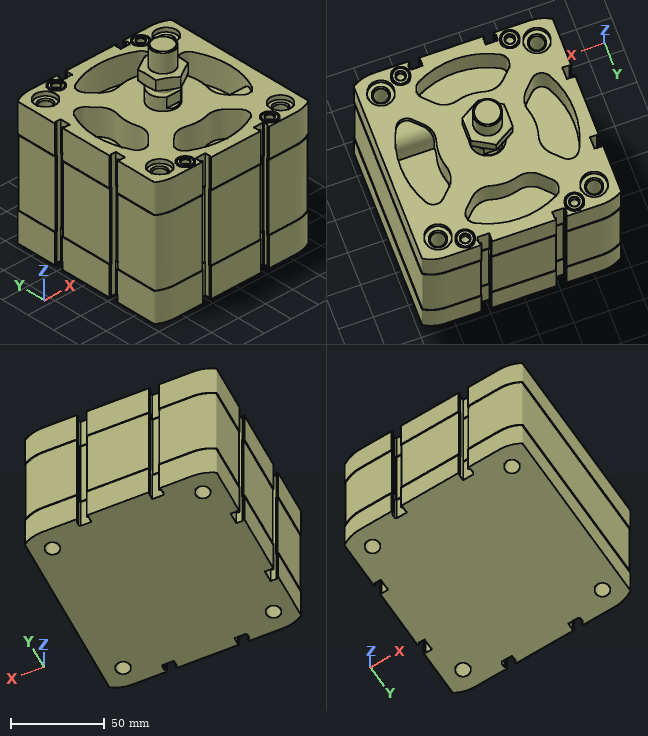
import cadquery as cq
import math

WIDTH = 114.0
TOTAL_HEIGHT = 129.0
HOUSING_HEIGHT = 92.1
HALF_WIDTH = WIDTH / 2

CAP_HEIGHT = 21.5
BARREL_INSET = 0.4
CORNER_ARC_START = 44.5
CORNER_ARC_RADIUS = 24.0
CORNER_EDGE_RADIUS = 1.3

SLOT_MOUTH_INNER = 18.7
SLOT_MOUTH_OUTER = 24.1
SLOT_INNER = 18.0
SLOT_OUTER = 25.2
SLOT_DEPTH = 5.0
SLOT_LIP = 1.2
SLOT_EDGE_CHAMFER = 0.4
SLOT_CORNER_CUT = 0.6

POCKET_DIAMETER = 99.2
POCKET_HUB_RADIUS = 27.5
POCKET_DEPTH = 19.2
WEB_WIDTH = 13.8
POCKET_HUB_FILLET = 12.0
POCKET_TIP_FILLET = 5.9

BOSS_FACE = -12.1
BOSS_DEPTH = 3.2
BOSS_RADIUS = 8.0

MOUNT_SPACING = 89.3
MOUNT_BORE = 8.4
MOUNT_COUNTERSINK = 10.0
MOUNT_COUNTERBORE = 15.0
MOUNT_COUNTERBORE_DEPTH = 3.0

SCREW_X = 31.2
SCREW_Y = 50.5
SCREW_RECESS = 10.7
SCREW_HEAD = 10.0
SCREW_FACE = 9.0
SCREW_GROOVE_DEPTH = 1.3
SCREW_SOCKET = 5.2
SCREW_SOCKET_MOUTH = 5.9
SCREW_SOCKET_DEPTH = 3.2
SOCKET_POINT_ANGLE = 140.0

ROD_DIAMETER = 20.0
ROD_FLATS = 17.0
FLAT_BOTTOM = 94.0
FLAT_RUNOUT = 0.9
SHOULDER_TOP = 101.1
NECK_DIAMETER = 13.5
NECK_TOP = 103.7
NECK_FILLET = 0.9
THREAD_DIAMETER = 16.0
THREAD_START = 107.1
TIP_DIAMETER = 14.3
TIP_CHAMFER_HEIGHT = 0.5

NUT_BOTTOM = THREAD_START
NUT_HEIGHT = 8.0
NUT_FLATS = 24.0
NUT_FACE_DIAMETER = 23.2
NUT_CHAMFER_ANGLE = 15.0


def prism(bottom, height, inset):
    """Square section with shallow arcs on its corners, shrunk by an inset."""
    half = HALF_WIDTH - inset
    reach = half - CORNER_ARC_START
    rise = math.sqrt(CORNER_ARC_RADIUS**2 - reach**2)
    corner_y = half - CORNER_ARC_RADIUS + rise
    half_angle = math.asin(reach / CORNER_ARC_RADIUS) / 2
    mid_x = CORNER_ARC_START + CORNER_ARC_RADIUS * math.sin(half_angle)
    mid_y = half - CORNER_ARC_RADIUS * (1 - math.cos(half_angle))
    return (
        cq.Workplane("XY", origin=(0, 0, bottom))
        .moveTo(-CORNER_ARC_START, half)
        .lineTo(CORNER_ARC_START, half)
        .threePointArc((mid_x, mid_y), (half, corner_y))
        .lineTo(half, -corner_y)
        .threePointArc((mid_x, -mid_y), (CORNER_ARC_START, -half))
        .lineTo(-CORNER_ARC_START, -half)
        .threePointArc((-mid_x, -mid_y), (-half, -corner_y))
        .lineTo(-half, corner_y)
        .threePointArc((-mid_x, mid_y), (-CORNER_ARC_START, half))
        .close()
        .extrude(height)
        .edges("(<X or >X) and |Z")
        .fillet(CORNER_EDGE_RADIUS)
    )


def slot(bottom, height, inset, corner_cut):
    """Undercut slot in the +Y face, on the +X side of its middle."""
    face = HALF_WIDTH - inset
    floor = face - SLOT_DEPTH
    cavity = (
        cq.Workplane("XY", origin=(0, 0, bottom))
        .moveTo(SLOT_INNER, floor)
        .lineTo(SLOT_OUTER, floor)
        .lineTo(SLOT_OUTER, face - SLOT_LIP)
        .lineTo(SLOT_INNER, face - SLOT_LIP)
        .close()
        .extrude(height)
    )
    if corner_cut > 0:
        cavity = cavity.edges("|Z and >X").chamfer(corner_cut)
    mouth = (
        cq.Workplane("XY", origin=(0, 0, bottom))
        .moveTo(SLOT_MOUTH_INNER, floor)
        .lineTo(SLOT_MOUTH_OUTER, floor)
        .lineTo(SLOT_MOUTH_OUTER, face - SLOT_EDGE_CHAMFER)
        .lineTo(SLOT_MOUTH_OUTER + SLOT_EDGE_CHAMFER, face)
        .lineTo(SLOT_MOUTH_INNER - SLOT_EDGE_CHAMFER, face)
        .lineTo(SLOT_MOUTH_INNER, face - SLOT_EDGE_CHAMFER)
        .close()
        .extrude(height)
    )
    return cavity.union(mouth)


def section(bottom, height, inset):
    """One length of the housing with its slots: two each in the +Y, -X and -Y faces."""
    body = prism(bottom, height, inset)
    for angle, corner_cut in ((0, SLOT_CORNER_CUT), (90, 0), (180, SLOT_CORNER_CUT)):
        right_slot = slot(bottom, height, inset, corner_cut)
        for cutter in (right_slot, right_slot.mirror("YZ")):
            body = body.cut(cutter.rotate((0, 0, 0), (0, 0, 1), angle))
    return body


def pocket():
    """Kidney-shaped pocket on the +X side, between the hub and the outer circle."""
    reach = POCKET_DIAMETER
    web = WEB_WIDTH / math.sqrt(2)
    bottom = HOUSING_HEIGHT - POCKET_DEPTH
    ring = (
        cq.Workplane("XY", origin=(0, 0, bottom))
        .circle(POCKET_DIAMETER / 2)
        .circle(POCKET_HUB_RADIUS)
        .extrude(POCKET_DEPTH)
    )
    wedge = (
        cq.Workplane("XY", origin=(0, 0, bottom))
        .polyline([(web, 0), (reach, reach - web), (reach, web - reach)])
        .close()
        .extrude(POCKET_DEPTH)
    )
    hub_corners = cq.selectors.BoxSelector(
        (0, -reach, 0),
        (POCKET_HUB_RADIUS, reach, TOTAL_HEIGHT),
    )
    return (
        ring.intersect(wedge)
        .edges("|Z").edges(hub_corners).fillet(POCKET_HUB_FILLET)
        .edges("|Z and (>Y or <Y)").fillet(POCKET_TIP_FILLET)
    )


def boss():
    """Block with one rounded edge that fills the lower part of the +X pocket's -Y end."""
    bottom = HOUSING_HEIGHT - POCKET_DEPTH
    length = HALF_WIDTH
    return (
        cq.Workplane("XY")
        .box(HALF_WIDTH, length, POCKET_DEPTH - BOSS_DEPTH, centered=False)
        .translate((0, BOSS_FACE - length, bottom))
        .edges("|X and >Y and >Z")
        .fillet(BOSS_RADIUS)
    )


def mounting_hole():
    """Through hole with a chamfered bore below a counterbore."""
    seat = HOUSING_HEIGHT - MOUNT_COUNTERBORE_DEPTH
    bore = MOUNT_BORE / 2
    lead = MOUNT_COUNTERSINK / 2
    head = MOUNT_COUNTERBORE / 2
    return (
        cq.Workplane("XZ")
        .polyline(
            [
                (0, 0),
                (bore, 0),
                (bore, seat - (lead - bore)),
                (lead, seat),
                (head, seat),
                (head, HOUSING_HEIGHT),
                (0, HOUSING_HEIGHT),
            ]
        )
        .close()
        .revolve(360, (0, 0), (0, 1))
    )


def screw_recess():
    """Groove around a screw head and the drilled socket in its middle."""
    top = HOUSING_HEIGHT
    socket = SCREW_SOCKET / 2
    mouth = SCREW_SOCKET_MOUTH / 2
    floor = top - SCREW_SOCKET_DEPTH
    point = socket / math.tan(math.radians(SOCKET_POINT_ANGLE / 2))
    socket_cut = (
        cq.Workplane("XZ")
        .polyline(
            [
                (0, floor - point),
                (socket, floor),
                (socket, top - (mouth - socket)),
                (mouth, top),
                (0, top),
            ]
        )
        .close()
        .revolve(360, (0, 0), (0, 1))
    )
    recess = SCREW_RECESS / 2
    head = SCREW_HEAD / 2
    face = SCREW_FACE / 2
    groove = (
        cq.Workplane("XZ")
        .polyline(
            [
                (face, top),
                (head, top - (head - face)),
                (head, top - SCREW_GROOVE_DEPTH),
                (recess, top - SCREW_GROOVE_DEPTH),
                (recess, top),
            ]
        )
        .close()
        .revolve(360, (0, 0), (0, 1))
    )
    return socket_cut.union(groove)


def build_housing():
    """Body with pockets, mounting holes and screw heads."""
    barrel_height = HOUSING_HEIGHT - 2 * CAP_HEIGHT
    body = section(0, CAP_HEIGHT, 0)
    body = body.union(section(CAP_HEIGHT, barrel_height, BARREL_INSET))
    body = body.union(section(CAP_HEIGHT + barrel_height, CAP_HEIGHT, 0))

    body = body.cut(pocket().cut(boss()))
    for angle in (90, 180, 270):
        body = body.cut(pocket().rotate((0, 0, 0), (0, 0, 1), angle))

    for side_x in (-1, 1):
        for side_y in (-1, 1):
            mount_place = (side_x * MOUNT_SPACING / 2, side_y * MOUNT_SPACING / 2, 0)
            screw_place = (side_x * SCREW_X, side_y * SCREW_Y, 0)
            body = body.cut(mounting_hole().translate(mount_place))
            body = body.cut(screw_recess().translate(screw_place))
    return body


def build_rod():
    """Rod standing on the housing, with wrench flats, a relieved neck and a thread."""
    shaft = ROD_DIAMETER / 2
    neck = NECK_DIAMETER / 2
    thread = THREAD_DIAMETER / 2
    tip = TIP_DIAMETER / 2
    rod = (
        cq.Workplane("XZ")
        .polyline(
            [
                (0, HOUSING_HEIGHT),
                (shaft, HOUSING_HEIGHT),
                (shaft, SHOULDER_TOP),
                (neck, SHOULDER_TOP),
                (neck, NECK_TOP),
                (thread, THREAD_START),
                (thread, TOTAL_HEIGHT - TIP_CHAMFER_HEIGHT),
                (tip, TOTAL_HEIGHT),
                (0, TOTAL_HEIGHT),
            ]
        )
        .close()
        .revolve(360, (0, 0), (0, 1))
    )
    neck_ends = cq.selectors.BoxSelector(
        (-thread, -thread, SHOULDER_TOP - NECK_FILLET),
        (thread, thread, NECK_TOP + NECK_FILLET),
        boundingbox=True,
    )
    rod = rod.edges("%CIRCLE").edges(neck_ends).fillet(NECK_FILLET)
    flat = ROD_FLATS / 2
    flat_cut = (
        cq.Workplane("YZ", origin=(-shaft, 0, 0))
        .polyline(
            [
                (flat, FLAT_BOTTOM),
                (flat, SHOULDER_TOP),
                (shaft, SHOULDER_TOP),
                (shaft, FLAT_BOTTOM - FLAT_RUNOUT),
            ]
        )
        .close()
        .extrude(ROD_DIAMETER)
    )
    return rod.cut(flat_cut).cut(flat_cut.mirror("XZ"))


def build_nut():
    """Hexagon chamfered at both ends, with corners toward -Y and +Y, before it is bored."""
    corner_diameter = NUT_FLATS / math.cos(math.pi / 6)
    outer = corner_diameter / 2
    face = NUT_FACE_DIAMETER / 2
    drop = (outer - face) * math.tan(math.radians(NUT_CHAMFER_ANGLE))
    top = NUT_BOTTOM + NUT_HEIGHT
    hexagon = (
        cq.Workplane("XY", origin=(0, 0, NUT_BOTTOM))
        .polygon(6, corner_diameter)
        .extrude(NUT_HEIGHT)
        .rotate((0, 0, 0), (0, 0, 1), 30)
    )
    chamfer_envelope = (
        cq.Workplane("XZ")
        .polyline(
            [
                (0, NUT_BOTTOM),
                (face, NUT_BOTTOM),
                (outer, NUT_BOTTOM + drop),
                (outer, top - drop),
                (face, top),
                (0, top),
            ]
        )
        .close()
        .revolve(360, (0, 0), (0, 1))
    )
    return hexagon.intersect(chamfer_envelope)


housing = build_housing()
rod = build_rod()
nut = build_nut().cut(rod)
result = cq.Compound.makeCompound(
    [housing.solids().val(), rod.solids().val(), nut.solids().val()]
)